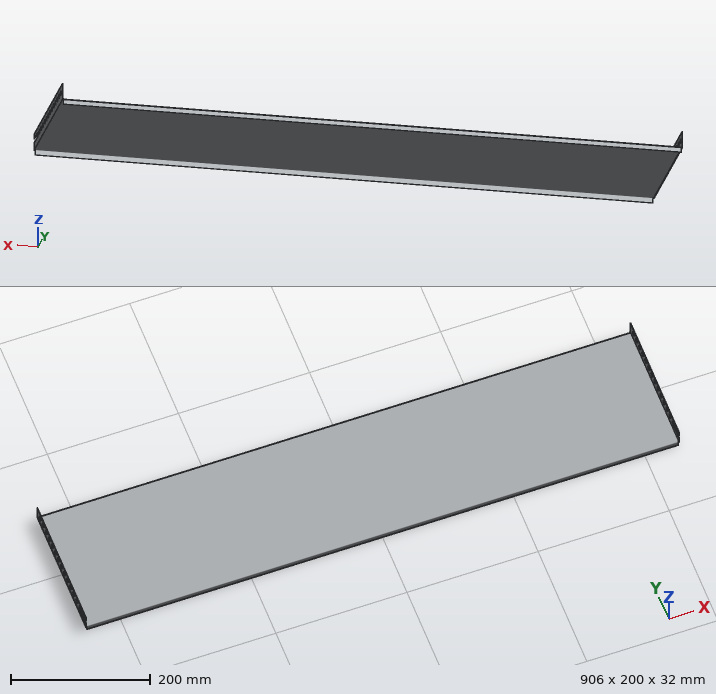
import cadquery as cq

length = 906.0
depth = 200.0
height = 32.0

sheet = 1.0
lip_bend = 1.4
lip_drop = 8.0
corner_relief = 2.0

hole_diameter = 6.5
hole_pitch = depth / 16
hole_count = 13
hole_top_margin = 6.9

shelf_top = lip_drop
shelf_bottom = shelf_top - sheet
hole_height = height - hole_top_margin - hole_diameter / 2
back_edge = depth / 2
lip_length = length - 2 * corner_relief


def block(x_size, y_size, z_low, z_high):
    """Box centred on the Z axis between two heights."""
    base = cq.Workplane("XY").workplane(offset=z_low)
    return base.box(x_size, y_size, z_high - z_low, centered=(True, True, False))


def upturned_tray():
    """Shelf panel with a flange folded up along each short end."""
    outer = block(length, depth, shelf_bottom, height)
    inner = block(length - 2 * sheet, depth, shelf_top, height)
    return outer.cut(inner)


def downturned_tray():
    """Shelf panel with a lip folded down along each long side."""
    outer = block(lip_length, depth, 0, shelf_top).edges("|X and >Z").fillet(lip_bend)
    inner = block(lip_length, depth - 2 * sheet, 0, shelf_bottom).edges("|X and >Z").fillet(lip_bend - sheet)
    return outer.cut(inner)


def flange_openings():
    """Round holes from the back edge, then a slot open at the front edge, through both flanges."""
    hole_places = [(back_edge - hole_pitch * (i + 1), hole_height) for i in range(hole_count)]
    slot_center = back_edge - hole_pitch * (hole_count + 1)
    slot_run = slot_center + back_edge
    through = cq.Workplane("YZ").workplane(offset=-length / 2)
    slot_end = (slot_center, hole_height)
    holes = through.pushPoints(hole_places + [slot_end]).circle(hole_diameter / 2).extrude(length)
    slot = through.center(slot_center - slot_run / 2, hole_height).rect(slot_run, hole_diameter).extrude(length)
    return holes.union(slot)


lip_span = block(lip_length, depth, 0, shelf_top)
shelf = upturned_tray().cut(lip_span).union(downturned_tray())
result = shelf.cut(flange_openings())